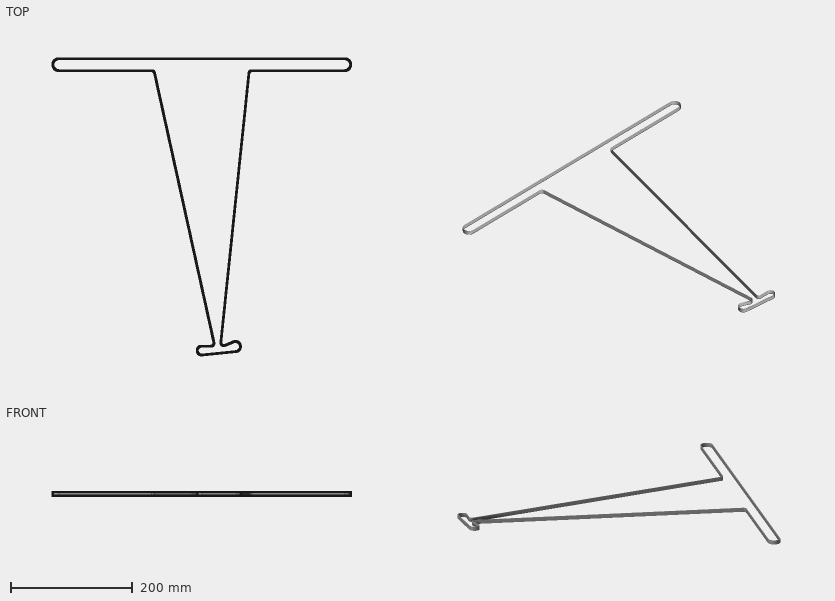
import cadquery as cq
import math

length_x = 491.0
length_y = 488.5
height = 7.0
wall = 1.0

bar_end_radius = 10.5
left_foot_radius = 8.0
right_foot_radius = 9.0
bend_radius = 4.5

bar_end_x = length_x / 2 - bar_end_radius
bar_y = length_y / 2 - bar_end_radius
shoulder_x = 82.5
shoulder_y = bar_y - bar_end_radius - bend_radius
left_foot_x = 0.0
left_foot_y = -length_y / 2 + left_foot_radius
right_foot_x = 55.5
right_foot_y = -230.0
left_neck_x = 15.0
left_neck_y = left_foot_y + left_foot_radius + bend_radius
right_neck_x = 36.5
right_neck_y = -223.5

bends = [
    (-bar_end_x, bar_y, bar_end_radius),
    (-shoulder_x, shoulder_y, -bend_radius),
    (left_neck_x, left_neck_y, -bend_radius),
    (left_foot_x, left_foot_y, left_foot_radius),
    (right_foot_x, right_foot_y, right_foot_radius),
    (right_neck_x, right_neck_y, -bend_radius),
    (shoulder_x, shoulder_y, -bend_radius),
    (bar_end_x, bar_y, bar_end_radius),
]


def normal_angle(start, end):
    """Direction of the outward normal of the straight run tangent to two bends."""
    dx = end[0] - start[0]
    dy = end[1] - start[1]
    return math.atan2(dy, dx) - math.acos((start[2] - end[2]) / math.hypot(dx, dy))


def point_on(bend, angle, inset):
    """Point on a bend where the outward normal has the given direction."""
    x, y, radius = bend
    offset = radius - inset
    return (x + offset * math.cos(angle), y + offset * math.sin(angle))


def outline_solid(inset):
    """Solid bounded by the tangent lines and arcs at a depth inside the outer face."""
    normals = [normal_angle(bend, bends[(i + 1) % len(bends)]) for i, bend in enumerate(bends)]
    outline = cq.Workplane("XY").workplane(offset=-height / 2)
    outline = outline.moveTo(*point_on(bends[0], normals[-1], inset))
    for i, bend in enumerate(bends):
        arrive = normals[i - 1]
        turn = (normals[i] - arrive) % math.tau
        if bend[2] < 0:
            turn -= math.tau
        middle = point_on(bend, arrive + turn / 2, inset)
        outline = outline.threePointArc(middle, point_on(bend, arrive + turn, inset))
        if i < len(bends) - 1:
            outline = outline.lineTo(*point_on(bends[i + 1], normals[i], inset))
    return outline.close().extrude(height)


result = outline_solid(0).cut(outline_solid(wall))